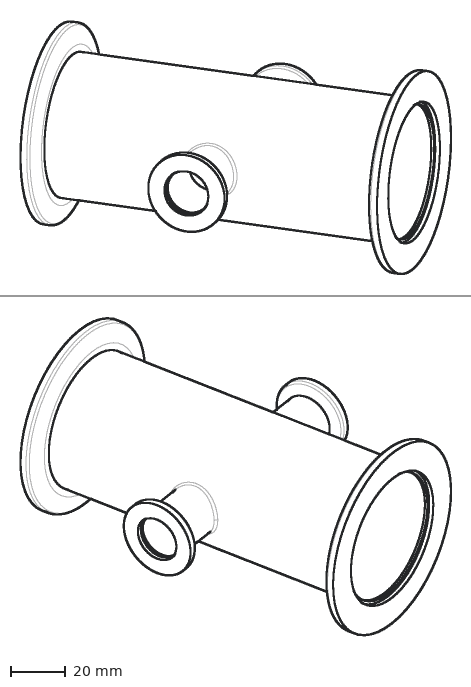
import cadquery as cq
import math

run_length = 140.0
branch_span = 100.0

run_outer_d = 54.0
run_inner_d = 50.0
branch_outer_d = 20.0
branch_inner_d = 17.0
weld_fillet = 1.0

large_flange_d = 75.0
large_recess_d = 52.4
large_hub_d = 59.6
large_thickness = 5.3
small_flange_d = 30.0
small_recess_d = 17.2
small_hub_d = 20.2
small_thickness = 4.5
taper_angle = 15.0
rim_fillet = 1.0
recess_depth = 1.8
tube_setback = 3.0


def make_flange(outer_d, recess_d, bore_d, socket_d, hub_d, thickness):
    """Clamp flange along +Z with its sealing face at Z = 0 and a socket for the tube behind."""
    taper_height = (outer_d - hub_d) / 2 * math.tan(math.radians(taper_angle))
    rim_height = thickness - taper_height
    profile = (
        cq.Workplane("XZ")
        .moveTo(recess_d / 2, 0)
        .lineTo(outer_d / 2, 0)
        .lineTo(outer_d / 2, rim_height)
        .lineTo(hub_d / 2, thickness)
        .lineTo(socket_d / 2, thickness)
        .lineTo(socket_d / 2, tube_setback)
        .lineTo(bore_d / 2, tube_setback)
        .lineTo(bore_d / 2, recess_depth)
        .lineTo(recess_d / 2, recess_depth)
        .close()
    )
    flange = profile.revolve(360, (0, 0, 0), (0, 1, 0))
    back_zone = cq.selectors.BoxSelector(
        (-outer_d, -outer_d, rim_height / 2),
        (outer_d, outer_d, thickness),
    )
    largest_circle = cq.selectors.RadiusNthSelector(-1)
    return flange.edges(back_zone).edges(largest_circle).fillet(rim_fillet)


def make_cross_tube():
    """Run along X with a branch through it along Y, hollow throughout."""
    run_tube_length = run_length - 2 * tube_setback
    branch_tube_length = branch_span - 2 * tube_setback

    def run(diameter):
        return cq.Workplane("YZ").circle(diameter / 2).extrude(run_tube_length / 2, both=True)

    def branch(diameter):
        return cq.Workplane("XZ").circle(diameter / 2).extrude(branch_tube_length / 2, both=True)

    outside = run(run_outer_d).union(branch(branch_outer_d))
    reach = run_outer_d / 2 + weld_fillet
    junction_zone = cq.selectors.BoxSelector(
        (-branch_outer_d, -reach, -branch_outer_d),
        (branch_outer_d, reach, branch_outer_d),
        boundingbox=True,
    )
    outside = outside.edges(junction_zone).fillet(weld_fillet)
    return outside.cut(run(run_inner_d)).cut(branch(branch_inner_d))


cross_tube = make_cross_tube()

large_flange = make_flange(
    large_flange_d, large_recess_d, run_inner_d, run_outer_d, large_hub_d, large_thickness
)
small_flange = make_flange(
    small_flange_d, small_recess_d, branch_inner_d, branch_outer_d, small_hub_d, small_thickness
)

large_flanges = []
small_flanges = []
for side in (-1, 1):
    large_turned = large_flange.rotate((0, 0, 0), (0, 1, 0), -side * 90)
    large_flanges.append(large_turned.translate((side * run_length / 2, 0, 0)))
    small_turned = small_flange.rotate((0, 0, 0), (1, 0, 0), side * 90)
    small_flanges.append(small_turned.translate((0, side * branch_span / 2, 0)))

result = cq.Compound.makeCompound(
    [cross_tube.val()] + [flange.val() for flange in large_flanges + small_flanges]
)